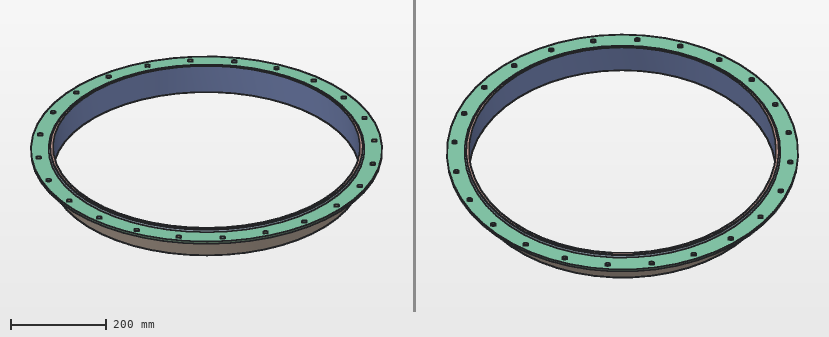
import cadquery as cq

flange_diameter = 739.0
collar_diameter = 658.0
bore_diameter = 646.0
total_height = 65.0

flange_thickness = 6.0
collar_lip = 5.0
flange_bottom = total_height - collar_lip - flange_thickness

weld_leg = 3.55

bolt_count = 24
bolt_hole_diameter = 10.0
bolt_circle_diameter = 709.5


def make_collar():
    return cq.Workplane("XY").circle(collar_diameter / 2).extrude(total_height)


def make_flange():
    return (
        cq.Workplane("XY", origin=(0, 0, flange_bottom))
        .circle(flange_diameter / 2)
        .extrude(flange_thickness)
    )


def make_weld():
    collar_radius = collar_diameter / 2
    flange_top = flange_bottom + flange_thickness
    return (
        cq.Workplane("XZ")
        .moveTo(bore_diameter / 2, flange_top)
        .lineTo(collar_radius + weld_leg, flange_top)
        .lineTo(collar_radius, flange_top + weld_leg)
        .lineTo(bore_diameter / 2, flange_top + weld_leg)
        .close()
        .revolve(360, (0, 0, 0), (0, 1, 0))
    )


def make_bore():
    return cq.Workplane("XY").circle(bore_diameter / 2).extrude(total_height)


def make_bolt_holes():
    return (
        cq.Workplane("XY", origin=(0, 0, flange_bottom))
        .polarArray(bolt_circle_diameter / 2, 0, 360, bolt_count)
        .circle(bolt_hole_diameter / 2)
        .extrude(flange_thickness)
    )


result = make_collar().union(make_flange()).union(make_weld()).cut(make_bore()).cut(make_bolt_holes())